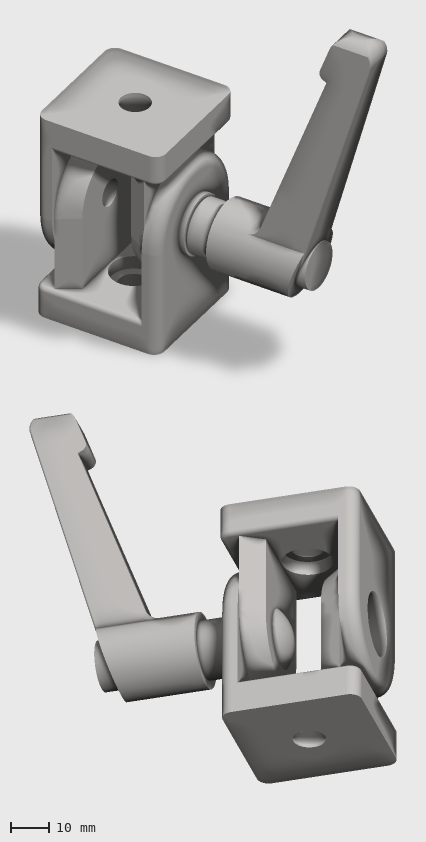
import cadquery as cq
import math


plate_size = 38.1
plate_thickness = 9.3
bracket_offset = 0.4
pivot_height = 31.8
corner_radius = 3.2
plate_edge_round = 1.2
wall_thickness = 5.0
mounting_hole_radius = 4.4
counterbore_radius = 6.8
counterbore_depth = 4.0
lug_thickness = 6.3
lug_radius = 17.8
lug_draft = 31
wall_hole_radius = 4.7
countersink_radius = 8.9

wall_radius = plate_size / 2
plate_inner = pivot_height - plate_thickness
lug_outer_x = plate_size - bracket_offset - wall_thickness
lug_inner_x = lug_outer_x - lug_thickness

shaft_radius = 4.0
dome_radius = 8.2
dome_height = 3.3
washer_rim = 1.8
washer_radius = 8.8
neck_radius = 8.0
neck_length = 7.7
neck_chamfer = 0.4
stub_radius = 6.9
stub_end_x = 76.0

washer_end_x = plate_size + washer_rim
hub_start_x = washer_end_x + neck_length

overall_height = 109.8
hub_radius = 10.3
hub_end_x = 73.3
back_angle = 16
back_step = 0.3
back_round = 0.5
front_angle = 20
notch_x = 81.1
notch_z = 95.3
nub_width = 2.7
nub_rise = 1.3
nub_round = 2.1
tip_front_round = 5.5
tip_back_round = 4.3
tip_crown_radius = 5.5
tip_width = 8.5
arm_taper = 0.073
root_fillet = 3.5

back_slope = math.tan(math.radians(back_angle))
front_slope = math.tan(math.radians(front_angle))


def make_bracket():
    """Bracket with its plate on top, wall face at X = 0 and the pivot axis at Y = Z = 0."""
    plate = (
        cq.Workplane("XY", origin=(0, 0, plate_inner))
        .rect(plate_size, plate_size)
        .extrude(plate_thickness)
        .translate((plate_size / 2, 0, 0))
        .edges("|Z").fillet(corner_radius)
        .faces("<Z").edges().fillet(plate_edge_round)
    )
    wall = (
        cq.Workplane("YZ")
        .moveTo(-wall_radius, pivot_height)
        .lineTo(-wall_radius, 0)
        .threePointArc((0, -wall_radius), (wall_radius, 0))
        .lineTo(wall_radius, pivot_height)
        .close()
        .extrude(wall_thickness)
    )
    wall = wall.faces("<X").edges("not >Z").fillet(corner_radius)

    lug_top = plate_inner + lug_thickness
    lug = (
        cq.Workplane("YZ", origin=(lug_outer_x, 0, 0))
        .moveTo(-lug_radius, lug_top)
        .lineTo(-lug_radius, 0)
        .threePointArc((0, -lug_radius), (lug_radius, 0))
        .lineTo(lug_radius, lug_top)
        .close()
        .extrude(-lug_thickness, taper=lug_draft)
    )
    wall_hole = (
        cq.Workplane("XY")
        .lineTo(0, countersink_radius)
        .lineTo(wall_thickness, wall_hole_radius)
        .lineTo(wall_thickness, 0)
        .close()
        .revolve(360, (0, 0, 0), (1, 0, 0))
    )
    lug_bore = cq.Workplane("YZ", origin=(lug_inner_x, 0, 0)).circle(shaft_radius).extrude(lug_thickness)
    mounting_hole = (
        cq.Workplane("XY", origin=(plate_size / 2, 0, plate_inner))
        .circle(mounting_hole_radius)
        .extrude(plate_thickness)
    )
    counterbore = (
        cq.Workplane("XY", origin=(plate_size / 2, 0, plate_inner))
        .circle(counterbore_radius)
        .extrude(counterbore_depth)
    )
    holes = wall_hole.union(lug_bore).union(mounting_hole).union(counterbore)
    return plate.union(wall).union(lug).cut(holes)


def make_upper_bracket():
    return make_bracket().translate((bracket_offset, 0, pivot_height))


def make_lower_bracket():
    turned = make_bracket().rotate((0, 0, 0), (0, 1, 0), 180)
    return turned.translate((plate_size, 0, pivot_height))


def make_washer():
    """Conical washer that fills the lower bracket's countersink."""
    return (
        cq.Workplane("XY")
        .moveTo(plate_size - wall_thickness, shaft_radius)
        .lineTo(plate_size - wall_thickness, wall_hole_radius)
        .lineTo(plate_size, countersink_radius)
        .lineTo(plate_size, washer_radius)
        .lineTo(washer_end_x, washer_radius)
        .lineTo(washer_end_x, shaft_radius)
        .close()
        .revolve(360, (0, 0, 0), (1, 0, 0))
        .translate((0, 0, pivot_height))
    )


def make_spindle():
    """Domed head, shaft through lug and washer, then a thick neck and a stub through the lever."""
    head_x = bracket_offset + lug_inner_x
    sphere_radius = (dome_radius**2 + dome_height**2) / (2 * dome_height)
    mid_height = dome_height / 2
    mid_radius = math.sqrt(sphere_radius**2 - (sphere_radius - mid_height) ** 2)
    return (
        cq.Workplane("XY")
        .moveTo(head_x - dome_height, 0)
        .threePointArc((head_x - dome_height + mid_height, mid_radius), (head_x, dome_radius))
        .lineTo(head_x, shaft_radius)
        .lineTo(washer_end_x, shaft_radius)
        .lineTo(washer_end_x, neck_radius - neck_chamfer)
        .lineTo(washer_end_x + neck_chamfer, neck_radius)
        .lineTo(hub_start_x, neck_radius)
        .lineTo(hub_start_x, stub_radius)
        .lineTo(stub_end_x, stub_radius)
        .lineTo(stub_end_x, 0)
        .close()
        .revolve(360, (0, 0, 0), (1, 0, 0))
        .translate((0, 0, pivot_height))
    )


def hub_end_at(z):
    return hub_end_x + (z - pivot_height) * back_slope


def arm_front_at(z):
    return notch_x + (z - notch_z) * front_slope


def make_arm():
    """Arm from the pivot height up: side outline crossed with a tapered, crowned end outline."""
    step_x = back_step / math.cos(math.radians(back_angle))
    tip_x = hub_end_at(overall_height) + step_x
    nub_x = notch_x - nub_width
    nub_z = notch_z + nub_rise
    side = (
        cq.Workplane("XZ")
        .moveTo(arm_front_at(pivot_height), pivot_height)
        .lineTo(notch_x, notch_z)
        .lineTo(nub_x, nub_z)
        .lineTo(nub_x + (overall_height - nub_z) * front_slope, overall_height)
        .lineTo(tip_x, overall_height)
        .lineTo(hub_end_at(pivot_height) + step_x, pivot_height)
        .close()
        .extrude(hub_radius, both=True)
    )
    side = side.edges("|Y").edges(">Z").edges("<X").fillet(tip_front_round)
    side = side.edges("|Y").edges(">X").fillet(tip_back_round)
    nub_edge = cq.selectors.NearestToPointSelector((nub_x, 0, nub_z))
    side = side.edges("|Y").edges(nub_edge).fillet(nub_round)

    half_tip = tip_width / 2
    half_root = half_tip + arm_taper / 2 * (overall_height - pivot_height)
    crown_drop = tip_crown_radius - math.sqrt(tip_crown_radius**2 - half_tip**2)
    crown_z = overall_height - crown_drop
    end_outline = (
        cq.Workplane("YZ")
        .moveTo(-half_root, pivot_height)
        .lineTo(-half_tip, crown_z)
        .threePointArc((0, overall_height), (half_tip, crown_z))
        .lineTo(half_root, pivot_height)
        .close()
        .extrude(tip_x)
    )
    arm = side.intersect(end_outline)
    back_face = cq.selectors.DirectionMinMaxSelector(cq.Vector(1, 0, -back_slope))
    return arm.faces(back_face).edges("not <Z").fillet(back_round)


def make_lever():
    """Hub with a slanted end, the arm on top of it and a bore for the spindle stub."""
    low_z = pivot_height - hub_radius
    high_z = pivot_height + hub_radius
    hub_length = hub_end_at(high_z) - hub_start_x
    hub_plane = cq.Workplane("YZ", origin=(hub_start_x, 0, pivot_height))
    hub = hub_plane.circle(hub_radius).extrude(hub_length)
    hub_trim = (
        cq.Workplane("XZ")
        .moveTo(hub_start_x, low_z)
        .lineTo(hub_start_x, high_z)
        .lineTo(hub_end_at(high_z), high_z)
        .lineTo(hub_end_at(low_z), low_z)
        .close()
        .extrude(hub_radius, both=True)
    )
    hub = hub.intersect(hub_trim)
    lever = hub.union(make_arm())
    root_point = (arm_front_at(high_z), 0, high_z)
    lever = lever.edges(cq.selectors.NearestToPointSelector(root_point)).fillet(root_fillet)
    bore = hub_plane.circle(stub_radius).extrude(hub_length)
    return lever.cut(bore)


upper_bracket = make_upper_bracket()
lower_bracket = make_lower_bracket()
washer = make_washer()
spindle = make_spindle()
lever = make_lever()

result = cq.Compound.makeCompound(
    [upper_bracket.val(), lower_bracket.val(), washer.val(), spindle.val(), lever.val()]
)